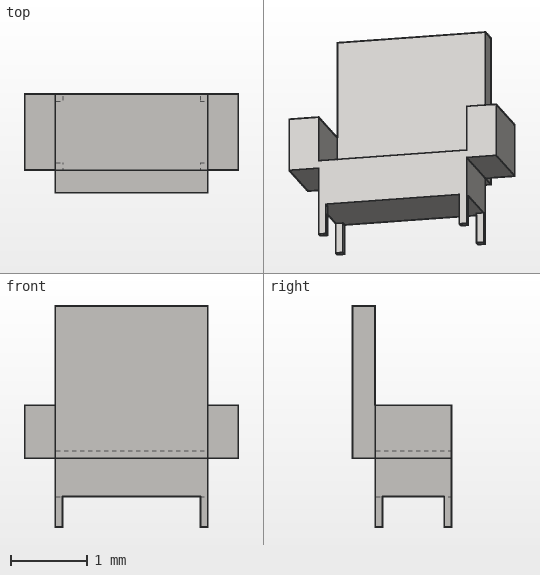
import cadquery as cq

total_height = 2.9
seat_width = 2.0
seat_depth = 1.0
seat_thickness = 0.6
leg_height = 0.4
leg_side = 0.1
arm_width = 0.4
arm_height = 0.7
back_thickness = 0.3
back_height = 2.0

back_bottom = total_height - back_height


def block(x, y, z, width, depth, height):
    """Box placed by its lowest corner."""
    return cq.Workplane("XY").box(width, depth, height, centered=False).translate((x, y, z))


seat_left = -seat_width / 2
seat_right = seat_width / 2
result = block(seat_left, 0, leg_height, seat_width, seat_depth, seat_thickness)

for leg_x in (seat_left, seat_right - leg_side):
    for leg_y in (0, seat_depth - leg_side):
        result = result.union(block(leg_x, leg_y, 0, leg_side, leg_side, leg_height))

for arm_x in (seat_left - arm_width, seat_right):
    result = result.union(block(arm_x, 0, back_bottom, arm_width, seat_depth, arm_height))

result = result.union(
    block(seat_left, -back_thickness, back_bottom, seat_width, back_thickness, back_height)
)